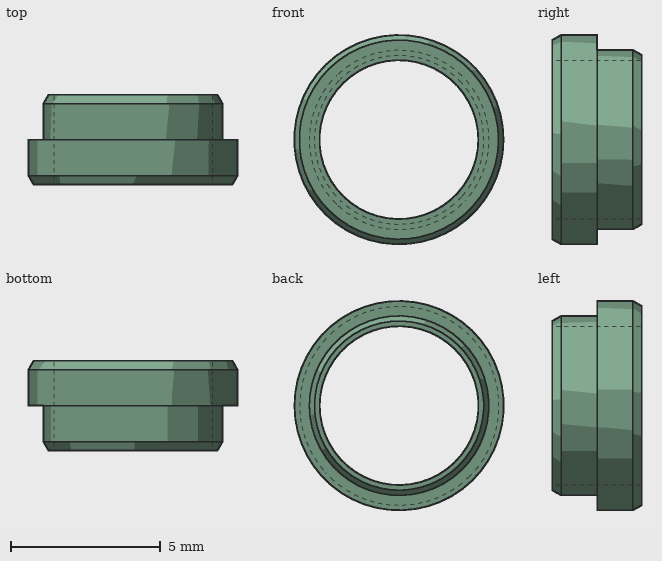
import cadquery as cq
import math

flange_diameter = 7.0
body_diameter = 6.0
bore_diameter = 5.3
total_length = 3.0
flange_length = total_length / 2

chamfer_length = 0.3
chamfer_angle = 30.0
chamfer_depth = chamfer_length * math.tan(math.radians(chamfer_angle))

flange_radius = flange_diameter / 2
body_radius = body_diameter / 2
bore_radius = bore_diameter / 2
front_y = -total_length / 2
back_y = front_y + total_length
shoulder_y = front_y + flange_length

half_section = [
    (bore_radius, front_y),
    (flange_radius - chamfer_depth, front_y),
    (flange_radius, front_y + chamfer_length),
    (flange_radius, shoulder_y),
    (body_radius, shoulder_y),
    (body_radius, back_y - chamfer_length),
    (body_radius - chamfer_depth, back_y),
    (bore_radius, back_y),
]

result = (
    cq.Workplane("XY")
    .polyline(half_section)
    .close()
    .revolve(360, (0, 0, 0), (0, 1, 0))
)